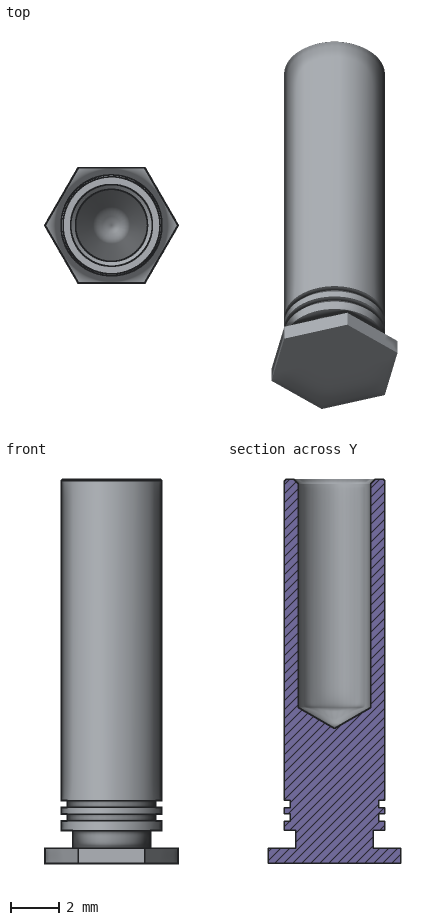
import cadquery as cq
import math

total_height = 16.0
body_diameter = 4.2

hex_across_flats = 4.8
hex_height = 0.65
hex_across_corners = hex_across_flats / math.cos(math.radians(30))

neck_diameter = 3.25
neck_height = 0.73
body_bottom = hex_height + neck_height

groove_diameter = 3.69
groove_width = 0.28
groove_pitch = 2 * groove_width
groove_count = 2
lowest_land_height = 0.4
first_groove_bottom = body_bottom + lowest_land_height

bore_diameter = 3.0
bore_depth = 9.5
drill_point_angle = 120.0

bevel_included_angle = 90.0
countersink_diameter = 3.4
rim_bevel_width = 0.08


def cone_height(radial_width, included_angle):
    """Axial height of a cone of the given included angle over a radial width."""
    return radial_width / math.tan(math.radians(included_angle / 2))


def make_head():
    return cq.Workplane("XY").polygon(6, hex_across_corners).extrude(hex_height)


def make_neck():
    return (
        cq.Workplane("XY")
        .workplane(offset=hex_height)
        .circle(neck_diameter / 2)
        .extrude(neck_height)
    )


def make_body():
    """Round body with a small bevel around its top rim."""
    radius = body_diameter / 2
    bevel_bottom = total_height - cone_height(rim_bevel_width, bevel_included_angle)
    return (
        cq.Workplane("XZ")
        .moveTo(0, body_bottom)
        .lineTo(radius, body_bottom)
        .lineTo(radius, bevel_bottom)
        .lineTo(radius - rim_bevel_width, total_height)
        .lineTo(0, total_height)
        .close()
        .revolve(360, (0, 0, 0), (0, 1, 0))
    )


def make_groove(bottom):
    """Ring that is cut away to form one groove."""
    return (
        cq.Workplane("XY")
        .workplane(offset=bottom)
        .circle(body_diameter / 2)
        .circle(groove_diameter / 2)
        .extrude(groove_width)
    )


def make_bore():
    """Countersunk bore with a conical bottom."""
    bore_radius = bore_diameter / 2
    mouth_radius = countersink_diameter / 2
    bore_bottom = total_height - bore_depth
    tip = bore_bottom - cone_height(bore_radius, drill_point_angle)
    countersink_bottom = total_height - cone_height(mouth_radius - bore_radius, bevel_included_angle)
    return (
        cq.Workplane("XZ")
        .moveTo(0, tip)
        .lineTo(bore_radius, bore_bottom)
        .lineTo(bore_radius, countersink_bottom)
        .lineTo(mouth_radius, total_height)
        .lineTo(0, total_height)
        .close()
        .revolve(360, (0, 0, 0), (0, 1, 0))
    )


result = make_head().union(make_neck()).union(make_body())
for groove_index in range(groove_count):
    result = result.cut(make_groove(first_groove_bottom + groove_index * groove_pitch))
result = result.cut(make_bore())